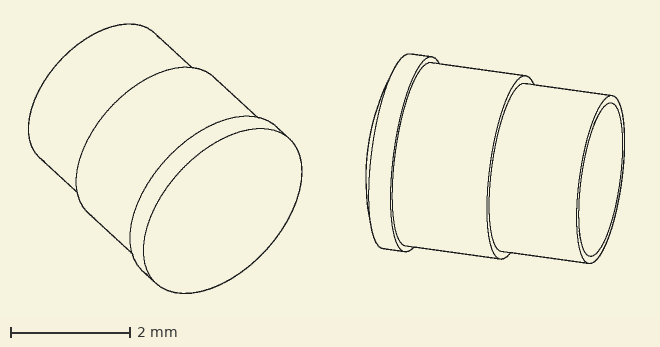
import cadquery as cq

total_length = 3.94
barrel_length = 1.53
body_length = 1.655
flange_length = 0.382

barrel_diameter = 2.845
body_diameter = 3.105
flange_diameter = 3.3

dish_diameter = 2.595
dish_depth = 0.315

body_start = barrel_length
flange_start = body_start + body_length
dome_start = flange_start + flange_length
dome_height = total_length - dome_start


def sphere_radius(rim_radius, height):
    """Radius of the sphere whose cap has the given rim radius and height."""
    return (rim_radius**2 + height**2) / (2 * height)


def cap_midpoint(rim_radius, rim_x, height):
    """Point on a cap's profile halfway out to its rim; the cap peaks toward +X."""
    radius = sphere_radius(rim_radius, height)
    half_rim = rim_radius / 2
    center_x = rim_x + height - radius
    return center_x + (radius**2 - half_rim**2) ** 0.5, half_rim


barrel_radius = barrel_diameter / 2
body_radius = body_diameter / 2
flange_radius = flange_diameter / 2
dish_radius = dish_diameter / 2

profile = (
    cq.Workplane("XY")
    .moveTo(dish_depth, 0)
    .threePointArc(cap_midpoint(dish_radius, 0, dish_depth), (0, dish_radius))
    .lineTo(0, barrel_radius)
    .lineTo(body_start, barrel_radius)
    .lineTo(body_start, body_radius)
    .lineTo(flange_start, body_radius)
    .lineTo(flange_start, flange_radius)
    .lineTo(dome_start, flange_radius)
    .threePointArc(cap_midpoint(flange_radius, dome_start, dome_height), (total_length, 0))
    .close()
)

result = profile.revolve(360, (0, 0, 0), (1, 0, 0))